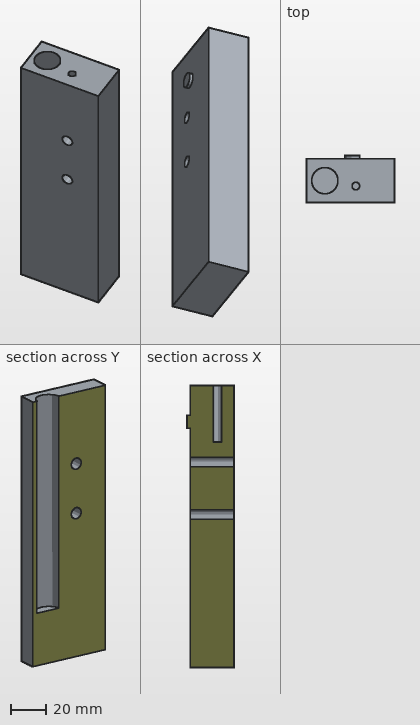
import cadquery as cq

width = 50.0
depth = 25.0
height = 160.5

cross_diameter = 6.5
cross_x = 5.0
upper_cross_drop = 43.5
cross_spacing = 30.0

large_bore_diameter = 15.0
large_bore_x = -14.6
large_bore_y = 0.0
large_bore_depth = 128.4
small_bore_diameter = 4.3
small_bore_x = 3.0
small_bore_y = -3.0
small_bore_depth = 32.1

button_diameter = 8.7
button_x = 1.0
button_drop = 20.7
button_height = 2.0


def blind_bore(x, y, diameter, bore_depth):
    """Vertical cylinder reaching down from the top face."""
    bottom = cq.Workplane("XY").workplane(offset=height - bore_depth)
    return bottom.center(x, y).circle(diameter / 2).extrude(bore_depth)


def cylinder_along_y(x, z, diameter, start_y, length):
    """Cylinder that starts at start_y and runs toward +Y."""
    plane = cq.Plane(origin=(x, start_y, z), xDir=(1, 0, 0), normal=(0, 1, 0))
    return cq.Workplane(plane).circle(diameter / 2).extrude(length)


body = cq.Workplane("XY").box(width, depth, height, centered=(True, True, False))

body = body.cut(blind_bore(large_bore_x, large_bore_y, large_bore_diameter, large_bore_depth))
body = body.cut(blind_bore(small_bore_x, small_bore_y, small_bore_diameter, small_bore_depth))

for drop in (upper_cross_drop, upper_cross_drop + cross_spacing):
    body = body.cut(cylinder_along_y(cross_x, height - drop, cross_diameter, -depth / 2, depth))

button_z = height - button_drop
button = cylinder_along_y(button_x, button_z, button_diameter, depth / 2, button_height)

result = body.union(button)